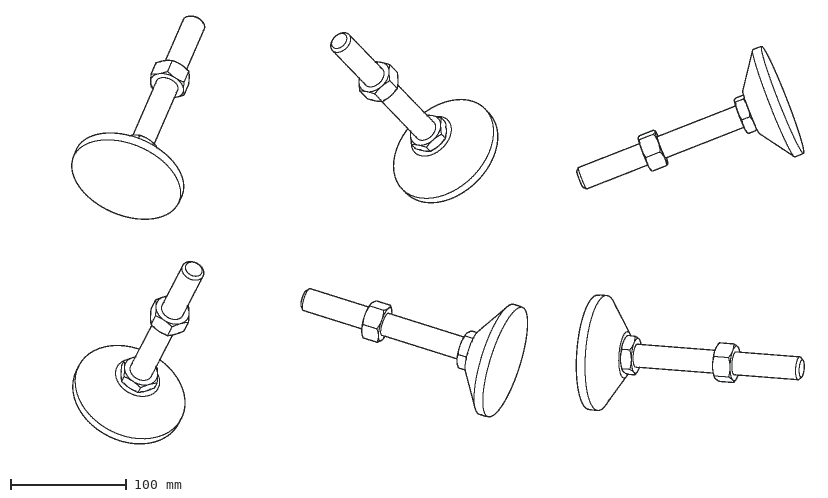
import cadquery as cq
import math

total_length = 189.0

pad_diameter = 100.0
sole_height = 2.0
sole_inset = 0.3
rim_top = 8.1
cone_top = 29.3
cone_top_diameter = 40.0

stem_diameter = 20.0
stem_chamfer = 2.5

nut_across_flats = 30.0
nut_chamfer_angle = 30.0
base_nut_height = 9.8
lock_nut_bottom = 112.8
lock_nut_height = 15.9


def revolve_about_y(profile):
    """Revolve a closed (radius, Y) profile about the Y axis."""
    return cq.Workplane("XY").polyline(profile).close().revolve(360, (0, 0, 0), (0, 1, 0))


def make_pad():
    pad_radius = pad_diameter / 2
    return revolve_about_y([
        (0, 0),
        (pad_radius - sole_inset, 0),
        (pad_radius, sole_height),
        (pad_radius, rim_top),
        (cone_top_diameter / 2, cone_top),
        (0, cone_top),
    ])


def make_stem():
    stem_radius = stem_diameter / 2
    return revolve_about_y([
        (0, cone_top),
        (stem_radius, cone_top),
        (stem_radius, total_length - stem_chamfer),
        (stem_radius - stem_chamfer, total_length),
        (0, total_length),
    ])


def make_nut(bottom, height):
    """Hexagon nut with flats facing X, corners on Z and both ends chamfered."""
    top = bottom + height
    flat_radius = nut_across_flats / 2
    corner_radius = flat_radius / math.cos(math.radians(30))
    chamfer_height = (corner_radius - flat_radius) * math.tan(math.radians(nut_chamfer_angle))
    hexagon = (
        cq.Workplane("XZ", origin=(0, bottom, 0))
        .transformed(rotate=(0, 0, 90))
        .polygon(6, 2 * corner_radius)
        .extrude(-height)
    )
    chamfer_envelope = revolve_about_y([
        (0, bottom),
        (flat_radius, bottom),
        (corner_radius, bottom + chamfer_height),
        (corner_radius, top - chamfer_height),
        (flat_radius, top),
        (0, top),
    ])
    return hexagon.intersect(chamfer_envelope)


base_nut = make_nut(cone_top, base_nut_height)
lock_nut = make_nut(lock_nut_bottom, lock_nut_height)
result = make_pad().union(make_stem()).union(base_nut).union(lock_nut)